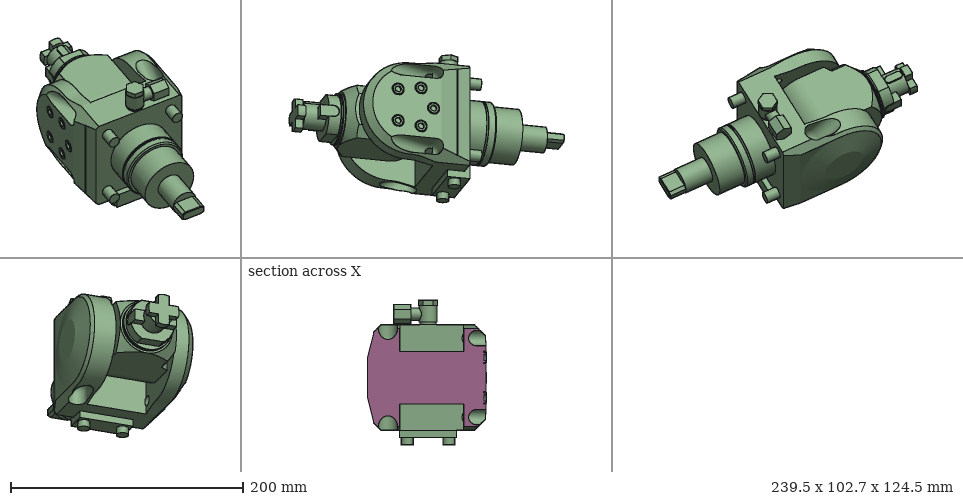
import cadquery as cq
import math


pivot_x = -54.0
arm_radius = 42.0
body_half_height = 45.5
front_face_y = -50.0
back_face_y = 47.0
gap_front_y = -30.7
gap_back_y = 24.2
gap_floor_x = -30.2
blend_start_x = -51.3
blend_end_x = -42.6
mount_edge_y = 42.6
front_taper_x = -27.5
back_taper_x = -14.4
front_edge_chamfer = 6.5
back_edge_chamfer = 2.9
dome_base_radius = arm_radius - back_edge_chamfer
dome_top_radius = 18.2
dome_height = 5.5

far = 143.7

joint_x = -12.7
joint_width = 0.7
joint_floor_y = -45.7

front_groove_radius = 6.5
front_groove_end = (-32.3, -35.5, 34.0)
front_groove_tilt = 27.0
back_groove_radius = 8.1
back_groove_end = (-34.2, 34.5, 35.2)
back_groove_tilt = 33.0

cover_screw_circle = 19.2
cover_screw_step = 65.5
counterbore_radius = 5.3
counterbore_depth = 2.0
cover_screw_radius = 4.5
cover_screw_height = 0.2
cover_socket_radius = 2.6
cover_socket_depth = 2.0

head_half_height = 24.2
head_front_x = -105.5
corner_cut_width = 7.0
corner_cut_height = 10.0
corner_cut_end_x = -82.5
corner_cut_runout = 4.3

shaft_radius = 11.3
ring_radius = 22.3
ring_front_x = -109.2
ring_groove_x = -107.8
ring_groove_width = 0.7
ring_groove_depth = 1.0
collar_radius = 20.5
collar_half_height = 18.0
collar_front_x = -119.8
dog_front_x = -127.2
dog_back_x = -110.6
dog_half_width = 5.0
dog_outer_y = 19.5
key_front_x = -138.0
key_back_x = -121.7
key_width = 6.7
key_top_z = 12.5
cross_front_x = -145.9
cross_length = 7.0
cross_radius = 14.1
cross_arm_width = 10.0

flange_radius = 27.8
flange_end_x = 28.3
oil_groove_x = 19.5
oil_groove_width = 1.7
oil_groove_depth = 1.0
flange_end_chamfer = 1.2
shank_radius = 24.2
shank_end_x = 52.5
tang_start_x = 78.3
tang_end_x = 93.6
tang_half_thickness = 4.3
tang_half_width = 10.8
tang_flat_half_width = 7.7
tang_edge_drop = 1.7
tang_end_chamfer = 0.7

bolt_radius = 5.0
bolt_length = 12.2
bolt_y = 31.4
bolt_z = 32.8

fitting_x = -7.2
bracket_front_x = -15.0
bracket_back_x = 5.0
bracket_half_width = 24.7
bracket_bottom_z = -51.7
bracket_lip_top_z = -37.5
bracket_screw_y = 18.0
bracket_screw_radius = 5.3
bracket_screw_bottom_z = -58.0

fitting_neck_radius = 7.0
fitting_neck_height = 2.2
fitting_radius = 8.0
fitting_top_z = 62.0
fitting_cap_top_z = 66.5
hex_corner_radius = 8.5
branch_radius = 5.5
branch_z = 54.5
nut_start_y = 14.8
nut_end_y = 29.7


def cylinder_x(radius, start_x, end_x, y=0.0, z=0.0):
    """Round bar parallel to X between two X positions."""
    return cq.Workplane("YZ", origin=(start_x, y, z)).circle(radius).extrude(end_x - start_x)


def box_between(low, high):
    """Box from its low corner to its high corner."""
    size = [b - a for a, b in zip(low, high)]
    return cq.Workplane("XY", origin=low).box(*size, centered=False)


def revolve_y(points):
    """Solid turned about the swivel axis from (radius, y) points."""
    return (
        cq.Workplane("XY", origin=(pivot_x, 0, 0))
        .polyline(points)
        .close()
        .revolve(360, (0, 0, 0), (0, 1, 0))
    )


def make_fork():
    """Two-armed body: side profile, trimmed by edge chamfers and rear tapers, with a dome and a gap."""
    thickness = back_face_y - front_face_y
    rise = body_half_height - arm_radius
    blend_length = blend_end_x - blend_start_x
    slope_length = gap_floor_x - blend_end_x
    blend_rise = rise * (blend_length / 2) / (blend_length / 2 + slope_length)
    blend_z = arm_radius + blend_rise
    blend_bow = blend_rise / 4
    blend_mid = ((blend_start_x + blend_end_x) / 2, arm_radius + blend_bow)
    body = (
        cq.Workplane("XZ", origin=(0, back_face_y, 0))
        .moveTo(0, body_half_height)
        .lineTo(gap_floor_x, body_half_height)
        .lineTo(blend_end_x, blend_z)
        .threePointArc(blend_mid, (blend_start_x, arm_radius))
        .lineTo(pivot_x, arm_radius)
        .threePointArc((pivot_x - arm_radius, 0), (pivot_x, -arm_radius))
        .lineTo(blend_start_x, -arm_radius)
        .threePointArc((blend_mid[0], -blend_mid[1]), (blend_end_x, -blend_z))
        .lineTo(gap_floor_x, -body_half_height)
        .lineTo(0, -body_half_height)
        .close()
        .extrude(thickness)
    )

    front_flat_z = arm_radius - front_edge_chamfer
    back_flat_z = arm_radius - back_edge_chamfer
    front_top_y = front_face_y + body_half_height - front_flat_z
    back_top_y = back_face_y - body_half_height + back_flat_z
    section = [
        (front_face_y, -front_flat_z),
        (front_face_y, front_flat_z),
        (front_top_y, body_half_height),
        (back_top_y, body_half_height),
        (back_face_y, back_flat_z),
        (back_face_y, -back_flat_z),
        (back_top_y, -body_half_height),
        (front_top_y, -body_half_height),
    ]
    body = body.intersect(
        cq.Workplane("YZ", origin=(-far, 0, 0)).polyline(section).close().extrude(far)
    )

    nose = revolve_y([
        (0, front_face_y),
        (front_flat_z, front_face_y),
        (arm_radius, front_face_y + front_edge_chamfer),
        (arm_radius, back_face_y - back_edge_chamfer),
        (back_flat_z, back_face_y),
        (0, back_face_y),
    ])
    rear = box_between((pivot_x, -far, -far), (0, far, far))
    body = body.intersect(nose.union(rear))

    dome = revolve_y([
        (0, back_face_y - dome_height),
        (dome_base_radius, back_face_y - dome_height),
        (dome_base_radius, back_face_y),
        (dome_top_radius, back_face_y + dome_height),
        (0, back_face_y + dome_height),
    ])
    body = body.union(dome)

    for face_y, taper_x, side in ((front_face_y, front_taper_x, -1), (back_face_y, back_taper_x, 1)):
        taper = (
            cq.Workplane("XY", origin=(0, 0, -far))
            .polyline([(taper_x, face_y), (0, side * mount_edge_y), (0, face_y)])
            .close()
            .extrude(2 * far)
        )
        body = body.cut(taper)

    gap = box_between((-far, gap_front_y, -far), (gap_floor_x, gap_back_y, far))
    return body.cut(gap)


def cut_joint_groove(body):
    joint_end_x = joint_x + joint_width
    return body.cut(box_between((joint_x, -far, -far), (joint_end_x, joint_floor_y, far)))


def sloped_groove(radius, tilt):
    """Ball-ended cutter open towards +Z, rising from the origin towards -X at the tilt angle."""
    ball = cq.Workplane("XY").sphere(radius)
    end_wall = cq.Workplane("XY").circle(radius).extrude(far)
    floor = cylinder_x(radius, -far, 0).rotate((0, 0, 0), (0, 1, 0), tilt)
    side_walls = (
        cq.Workplane("XZ", origin=(0, radius, 0))
        .polyline([(0, 0), (0, far), (-far, far), (-far, far * math.tan(math.radians(tilt)))])
        .close()
        .extrude(2 * radius)
    )
    return ball.union(end_wall).union(floor).union(side_walls)


def cut_access_grooves(body):
    """Front grooves open forward through the outer face; back grooves open up and down."""
    front = sloped_groove(front_groove_radius, front_groove_tilt)
    front = front.rotate((0, 0, 0), (1, 0, 0), 90).translate(front_groove_end)
    back = sloped_groove(back_groove_radius, back_groove_tilt).translate(back_groove_end)
    for cutter in (front, back):
        body = body.cut(cutter).cut(cutter.mirror("XY"))
    return body


def add_cover_screws(body):
    """Five socket screws round the swivel axis, each in a counterbore and slightly proud of it."""
    for index in range(-2, 3):
        angle = math.radians(index * cover_screw_step)
        x = pivot_x + cover_screw_circle * math.cos(angle)
        z = cover_screw_circle * math.sin(angle)
        floor = cq.Workplane("XZ", origin=(x, front_face_y + counterbore_depth, z))
        top = cq.Workplane("XZ", origin=(x, front_face_y - cover_screw_height, z))
        body = body.cut(floor.circle(counterbore_radius).extrude(counterbore_depth))
        body = body.union(floor.circle(cover_screw_radius).extrude(counterbore_depth + cover_screw_height))
        body = body.cut(top.circle(cover_socket_radius).extrude(-cover_socket_depth))
    return body


def make_head():
    """Swivel head filling the gap: round at the rear, coned at the front."""
    width = gap_back_y - gap_front_y
    head = box_between(
        (head_front_x, gap_front_y, -head_half_height),
        (pivot_x, gap_back_y, head_half_height),
    )
    head = head.union(
        cq.Workplane("XZ", origin=(pivot_x, gap_back_y, 0)).circle(head_half_height).extrude(width)
    )
    cone = cq.Workplane("XY").add(
        cq.Solid.makeCone(
            head_half_height,
            head_half_height + far,
            far,
            pnt=cq.Vector(head_front_x, 0, 0),
            dir=cq.Vector(1, 0, 0),
        )
    )
    head = head.intersect(cone)

    corner_y = gap_front_y + corner_cut_width
    plan = (
        cq.Workplane("XY", origin=(0, 0, -far))
        .polyline([
            (head_front_x, corner_y),
            (corner_cut_end_x, corner_y),
            (corner_cut_end_x + corner_cut_runout, gap_front_y),
            (head_front_x, gap_front_y),
        ])
        .close()
        .extrude(2 * far)
    )
    for side in (-1, 1):
        wedge = (
            cq.Workplane("YZ", origin=(head_front_x, 0, 0))
            .polyline([
                (corner_y, side * head_half_height),
                (gap_front_y, side * head_half_height),
                (gap_front_y, side * (head_half_height - corner_cut_height)),
            ])
            .close()
            .extrude(pivot_x - head_front_x)
        )
        head = head.cut(wedge.intersect(plan))
    return head


def make_drive_dog(side):
    """Flat-sided drive dog with a rounded rear end, reaching out from the shaft."""
    length = dog_back_x - dog_front_x
    return (
        cq.Workplane("XZ", origin=(dog_front_x, 0, 0))
        .moveTo(0, -dog_half_width)
        .lineTo(length - dog_half_width, -dog_half_width)
        .threePointArc((length, 0), (length - dog_half_width, dog_half_width))
        .lineTo(0, dog_half_width)
        .close()
        .extrude(-side * far)
    )


def make_nose():
    """Spindle nose: grooved ring, flatted collar, two drive dogs, keyed shaft and end cross."""
    ring = cylinder_x(ring_radius, ring_front_x, head_front_x)
    groove_end_x = ring_groove_x + ring_groove_width
    ring = ring.cut(
        cylinder_x(ring_radius, ring_groove_x, groove_end_x)
        .cut(cylinder_x(ring_radius - ring_groove_depth, ring_groove_x, groove_end_x))
    )

    collar = cylinder_x(collar_radius, collar_front_x, ring_front_x)
    collar = collar.intersect(
        box_between((-far, -far, -collar_half_height), (0, far, collar_half_height))
    )
    dog_reach = box_between((-far, -dog_outer_y, -far), (0, dog_outer_y, far))
    for side in (-1, 1):
        dog = make_drive_dog(side)
        collar = collar.cut(dog).union(dog.intersect(dog_reach))

    cross_back_x = cross_front_x + cross_length
    shaft = cylinder_x(shaft_radius, cross_back_x, collar_front_x)
    key_length = key_back_x - key_front_x
    key = (
        cq.Workplane("XY", origin=((key_front_x + key_back_x) / 2, 0, 0))
        .slot2D(key_length, key_width)
        .extrude(key_top_z)
    )
    arms = (
        cq.Workplane("YZ", origin=(cross_front_x, 0, 0))
        .rect(cross_arm_width, 2 * cross_radius)
        .extrude(cross_length)
        .union(
            cq.Workplane("YZ", origin=(cross_front_x, 0, 0))
            .rect(2 * cross_radius, cross_arm_width)
            .extrude(cross_length)
        )
    )
    cross = arms.intersect(cylinder_x(cross_radius, cross_front_x, cross_back_x))
    return ring.union(collar).union(shaft).union(key).union(cross)


def make_shank():
    """Rear shank: grooved flange, plain shank, drive shaft and flat tang."""
    flange = cylinder_x(flange_radius, 0, flange_end_x).faces(">X").chamfer(flange_end_chamfer)
    groove_end_x = oil_groove_x + oil_groove_width
    flange = flange.cut(
        cylinder_x(flange_radius, oil_groove_x, groove_end_x)
        .cut(cylinder_x(flange_radius - oil_groove_depth, oil_groove_x, groove_end_x))
    )
    shank = cylinder_x(shank_radius, flange_end_x, shank_end_x)
    drive = cylinder_x(shaft_radius, shank_end_x, tang_start_x)

    edge_z = tang_half_thickness - tang_edge_drop
    tang = (
        cq.Workplane("YZ", origin=(tang_start_x, 0, 0))
        .polyline([
            (-tang_half_width, -edge_z),
            (-tang_flat_half_width, -tang_half_thickness),
            (tang_flat_half_width, -tang_half_thickness),
            (tang_half_width, -edge_z),
            (tang_half_width, edge_z),
            (tang_flat_half_width, tang_half_thickness),
            (-tang_flat_half_width, tang_half_thickness),
            (-tang_half_width, edge_z),
        ])
        .close()
        .extrude(tang_end_x - tang_start_x)
        .faces(">X")
        .chamfer(tang_end_chamfer)
    )
    return flange.union(shank).union(drive).union(tang)


def add_mounting_bolts(body):
    for y in (-bolt_y, bolt_y):
        for z in (-bolt_z, bolt_z):
            body = body.union(cylinder_x(bolt_radius, 0, bolt_length, y, z))
    return body


def make_bracket():
    """Angle plate under the body, lipped over the mounting face, held by two screws."""
    plate = box_between(
        (bracket_front_x, -bracket_half_width, bracket_bottom_z),
        (bracket_back_x, bracket_half_width, -body_half_height),
    )
    lip = box_between(
        (0, -bracket_half_width, bracket_bottom_z),
        (bracket_back_x, bracket_half_width, bracket_lip_top_z),
    )
    screws = (
        cq.Workplane("XY", origin=(fitting_x, 0, bracket_screw_bottom_z))
        .pushPoints([(0, -bracket_screw_y), (0, bracket_screw_y)])
        .circle(bracket_screw_radius)
        .extrude(bracket_bottom_z - bracket_screw_bottom_z)
    )
    return plate.union(lip).union(screws)


def hexagon(workplane):
    """Hexagon with two corners on the second axis of the workplane."""
    corners = [
        (
            hex_corner_radius * math.sin(math.radians(60 * corner)),
            hex_corner_radius * math.cos(math.radians(60 * corner)),
        )
        for corner in range(6)
    ]
    return workplane.polyline(corners).close()


def make_fitting():
    """Coolant elbow on top of the body: post with a hex cap and a side branch with a hex nut."""
    post_bottom_z = body_half_height + fitting_neck_height
    neck = (
        cq.Workplane("XY", origin=(fitting_x, 0, body_half_height))
        .circle(fitting_neck_radius)
        .extrude(fitting_neck_height)
    )
    post = (
        cq.Workplane("XY", origin=(fitting_x, 0, post_bottom_z))
        .circle(fitting_radius)
        .extrude(fitting_top_z - post_bottom_z)
    )
    cap = hexagon(cq.Workplane("XY", origin=(fitting_x, 0, fitting_top_z)))
    cap = cap.extrude(fitting_cap_top_z - fitting_top_z)
    branch = (
        cq.Workplane("XZ", origin=(fitting_x, 0, branch_z)).circle(branch_radius).extrude(-nut_start_y)
    )
    nut = hexagon(cq.Workplane("XZ", origin=(fitting_x, nut_start_y, branch_z)))
    nut = nut.extrude(nut_start_y - nut_end_y)
    return neck.union(post).union(cap).union(branch).union(nut)


result = cut_joint_groove(make_fork())
result = cut_access_grooves(result)
result = add_cover_screws(result)
for piece in (make_head(), make_nose(), make_shank(), make_bracket(), make_fitting()):
    result = result.union(piece)
result = add_mounting_bolts(result)